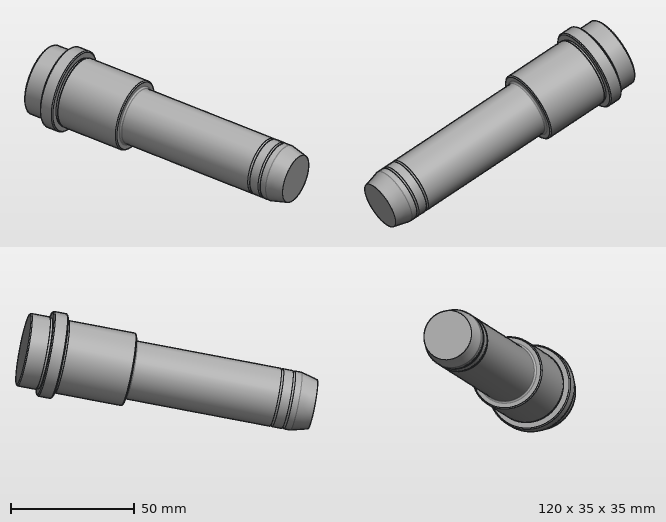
import cadquery as cq

length = 120.0

head_diameter = 30.0
head_length = 43.9
edge_chamfer = 0.5
collar_diameter = 35.0
collar_start = 9.0
collar_width = 6.0
collar_end = collar_start + collar_width

undercut_depth = 0.4
undercut_width = 1.0

shank_diameter = 24.0
root_fillet = 0.7
tip_length = 7.0
tip_diameter = 20.4

groove_radius = 0.5
groove_centers = [105.0, 109.9]


def cylinder(start, width, diameter):
    """Solid disc of the given width along X."""
    return cq.Workplane("YZ").workplane(offset=start).circle(diameter / 2).extrude(width)


def ring_groove(start, width, diameter, depth):
    """Cutter for a square groove around a cylinder of the given diameter."""
    outer = cylinder(start, width, diameter + 2 * depth)
    return outer.cut(cylinder(start, width, diameter - 2 * depth))


def ring_wire(center, wire_radius, diameter):
    """Round wire bent into a ring, used to cut a half-round groove."""
    section = cq.Workplane("XY").center(center, diameter / 2).circle(wire_radius)
    return section.revolve(360, (-center, -diameter / 2, 0), (1.2 - center, -diameter / 2, 0))


def make_head():
    head = cylinder(0, head_length, head_diameter).faces("<X or >X").chamfer(edge_chamfer)
    for start in (collar_start - undercut_width, collar_end):
        head = head.cut(ring_groove(start, undercut_width, head_diameter, undercut_depth))
    return head


def make_collar():
    collar = cylinder(collar_start, collar_width, collar_diameter)
    return collar.faces("<X or >X").chamfer(edge_chamfer)


def make_shank():
    tip_start = length - tip_length
    outline = (
        cq.Workplane("XY")
        .moveTo(head_length, 0)
        .lineTo(head_length, shank_diameter / 2 + root_fillet)
        .radiusArc((head_length + root_fillet, shank_diameter / 2), -root_fillet)
        .lineTo(tip_start, shank_diameter / 2)
        .lineTo(length, tip_diameter / 2)
        .lineTo(length, 0)
        .close()
    )
    shank = outline.revolve(360, (0, 0, 0), (1, 0, 0))
    for center in groove_centers:
        shank = shank.cut(ring_wire(center, groove_radius, shank_diameter))
    return shank


result = make_head().union(make_collar()).union(make_shank())